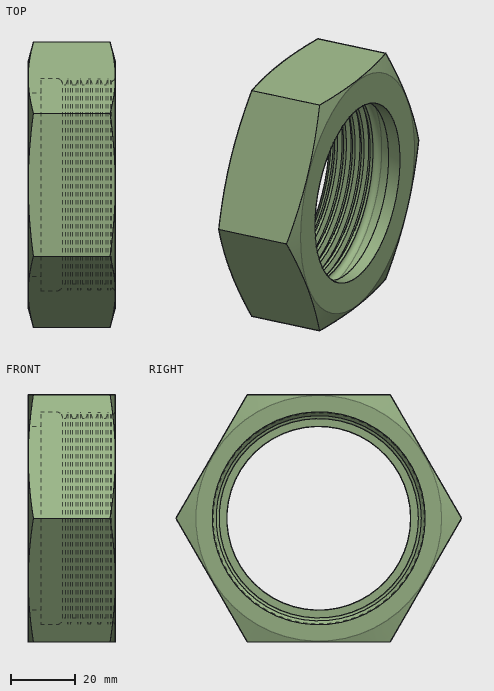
import cadquery as cq
import math

corner_diameter = 88
thickness = 26.9
face_diameter = 75.7
corner_chamfer = 1.7

entry_diameter = 56.5
entry_length = 4.0

relief_diameter = 65.6
relief_width = 6.7
relief_fillet = 1.9

countersink_diameter = 65.6

crest_diameter = 61.35
thread_diameter = 65.05
pitch = 3.1
thread_start = entry_length + relief_width
crest_width = 1.0
root_width = 0.8


def hexagon_body():
    prism = cq.Workplane("YZ").polygon(6, corner_diameter).extrude(thickness)
    face_radius = face_diameter / 2
    corner_radius = corner_diameter / 2
    envelope = (
        cq.Workplane("XY")
        .moveTo(0, 0)
        .lineTo(0, face_radius)
        .lineTo(corner_chamfer, corner_radius)
        .lineTo(thickness - corner_chamfer, corner_radius)
        .lineTo(thickness, face_radius)
        .lineTo(thickness, 0)
        .close()
        .revolve(360, (0, 0, 0), (1, 0, 0))
    )
    return prism.intersect(envelope)


def cylinder(diameter, start, length):
    return cq.Workplane("YZ", origin=(start, 0, 0)).circle(diameter / 2).extrude(length)


def relief():
    """Undercut behind the lip, rounded where it meets the thread."""
    groove = cylinder(relief_diameter, entry_length, relief_width)
    return groove.faces(">X").edges().fillet(relief_fillet)


def thread_grooves():
    """Row of identical ring grooves of trapezoidal section, from the relief out through the far face."""
    crest_radius = crest_diameter / 2
    root_radius = thread_diameter / 2
    mouth_width = pitch - crest_width
    flank_width = (mouth_width - root_width) / 2
    count = math.ceil((thickness - thread_start) / pitch)
    outline = cq.Workplane("XY").moveTo(thread_start, 0).lineTo(thread_start, crest_radius)
    for index in range(count):
        mouth_start = thread_start + crest_width + index * pitch
        root_start = mouth_start + flank_width
        outline = (
            outline.lineTo(mouth_start, crest_radius)
            .lineTo(root_start, root_radius)
            .lineTo(root_start + root_width, root_radius)
            .lineTo(mouth_start + mouth_width, crest_radius)
        )
    thread_end = thread_start + count * pitch
    return outline.lineTo(thread_end, 0).close().revolve(360, (0, 0, 0), (1, 0, 0))


def exit_countersink():
    """45 degree cone opening the threaded bore at the far face."""
    crest_radius = crest_diameter / 2
    mouth_radius = countersink_diameter / 2
    depth = mouth_radius - crest_radius
    return (
        cq.Workplane("XY")
        .moveTo(thickness - depth, 0)
        .lineTo(thickness - depth, crest_radius)
        .lineTo(thickness, mouth_radius)
        .lineTo(thickness, 0)
        .close()
        .revolve(360, (0, 0, 0), (1, 0, 0))
    )


result = hexagon_body()
result = result.cut(cylinder(entry_diameter, 0, thickness))
result = result.cut(thread_grooves())
result = result.cut(relief())
result = result.cut(exit_countersink())